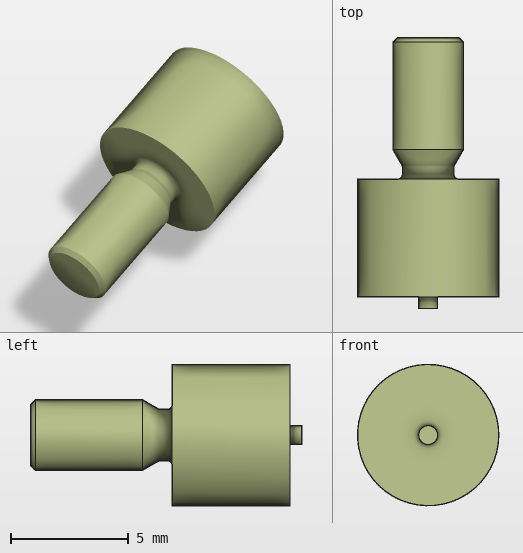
import cadquery as cq
import math

total_length = 11.5
body_diameter = 6.0
body_length = 5.0
pin_diameter = 0.8
pin_length = 0.5
stud_diameter = 3.0
stud_chamfer = 0.2
neck_diameter = 2.2
neck_fillet = 0.2
undercut_length = 1.25
cone_angle = math.radians(30)

body_radius = body_diameter / 2
pin_radius = pin_diameter / 2
stud_radius = stud_diameter / 2
neck_radius = neck_diameter / 2

shoulder_y = body_length
stud_start_y = shoulder_y + undercut_length
stud_end_y = total_length - pin_length

fillet_center_radius = neck_radius + neck_fillet
cone_start_radius = fillet_center_radius - neck_fillet * math.cos(cone_angle)
cone_start_y = stud_start_y - (stud_radius - cone_start_radius) / math.tan(cone_angle)
neck_end_y = cone_start_y - neck_fillet * math.sin(cone_angle)


def fillet_point(center_y, angle):
    """Point on a neck fillet; the angle is measured from the neck tangent point."""
    return (
        fillet_center_radius - neck_fillet * math.cos(angle),
        center_y + neck_fillet * math.sin(angle),
    )


shoulder_fillet_y = shoulder_y + neck_fillet
profile = (
    cq.Workplane("XY")
    .moveTo(0, -pin_length)
    .lineTo(pin_radius, -pin_length)
    .lineTo(pin_radius, 0)
    .lineTo(body_radius, 0)
    .lineTo(body_radius, shoulder_y)
    .lineTo(fillet_center_radius, shoulder_y)
    .threePointArc(
        fillet_point(shoulder_fillet_y, -math.pi / 4),
        (neck_radius, shoulder_fillet_y),
    )
    .lineTo(neck_radius, neck_end_y)
    .threePointArc(
        fillet_point(neck_end_y, cone_angle / 2),
        (cone_start_radius, cone_start_y),
    )
    .lineTo(stud_radius, stud_start_y)
    .lineTo(stud_radius, stud_end_y - stud_chamfer)
    .lineTo(stud_radius - stud_chamfer, stud_end_y)
    .lineTo(0, stud_end_y)
    .close()
)

result = profile.revolve(360, (0, 0, 0), (0, 1, 0))